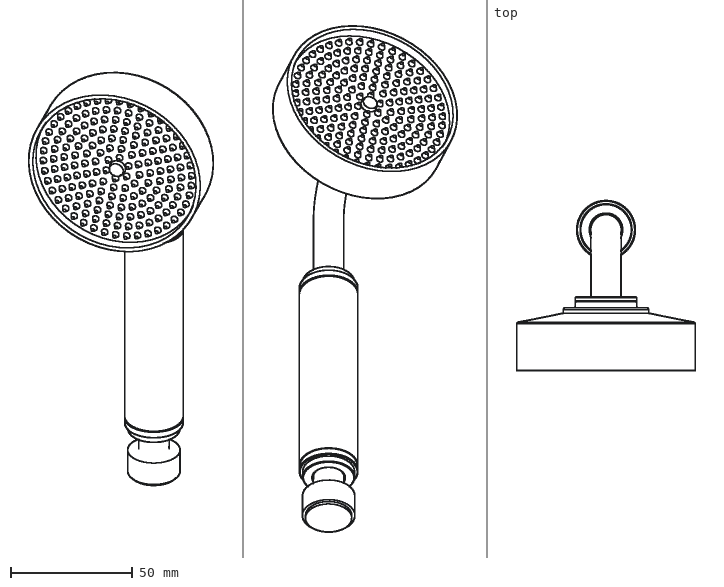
import cadquery as cq
import math

TOTAL_HEIGHT = 213
HEAD_DIAMETER = 74.0
HEAD_R = HEAD_DIAMETER / 2
HEAD_AXIS_Z = TOTAL_HEIGHT - HEAD_R

TUBE_DIAMETER = 12.5
TUBE_R = TUBE_DIAMETER / 2
BEND_R = 20.0
STUB_DIAMETER = 21.7
STUB_R = STUB_DIAMETER / 2
STUB_TOP_Z = 11.5
STUB_TIP_R = 9.5
STUB_TIP_HEIGHT = 1.3
STUB_FILLET = 0.6

GRIP_DIAMETER = 24.3
GRIP_R = GRIP_DIAMETER / 2
GRIP_BOTTOM_Z = 27.3
GRIP_TOP_Z = 117.0
CAP_BAND_HEIGHT = 3.2
CAP_COLLAR_DIAMETER = 21.5
CAP_COLLAR_R = CAP_COLLAR_DIAMETER / 2
CAP_COLLAR_HEIGHT = 3.0
CAP_BORE_CHAMFER = 0.6
CAP_EDGE_CHAMFER = 0.32

HEAD_FRONT = 58.1
RIM_BACK = 38.1
RIM_CHAMFER = 0.6
CONE_R = 18.0
CONE_BACK = 34.5
SHOULDER_R = 17.7
SHOULDER_BACK = 32.2
SHOULDER_BEVEL_WIDTH = 0.5
SHOULDER_BEVEL_DEPTH = 0.9
NECK_R = 12.8
NECK_BACK = 29.8
NECK_FILLET = 0.5
RECESS_R = 35.1
RECESS_DEPTH = 4.7

CONNECTOR_BACK = 27.7
CONNECTOR_CHAMFER = 0.5

BUTTON_BASE_R = 3.5
BUTTON_TIP_R = 3.0
BUTTON_HEIGHT = 2.0
NOZZLE_BASE_R = 1.38
NOZZLE_TIP_R = 0.6
NOZZLE_HEIGHT = 2.0
RING_COUNT = 7
NOZZLES_PER_RING_STEP = 6
FIRST_RING_R = 5.1
RING_PITCH = 4.5
NOZZLE_START_ANGLE = 20


def make_tube():
    """Straight grip bar, quarter bend and short arm, with the hose stub at the bottom."""
    bend_start_z = HEAD_AXIS_Z - BEND_R
    bend_offset = BEND_R * math.sqrt(0.5)
    path = (
        cq.Workplane("YZ")
        .moveTo(0, STUB_TOP_Z)
        .lineTo(0, bend_start_z)
        .threePointArc((-BEND_R + bend_offset, bend_start_z + bend_offset), (-BEND_R, HEAD_AXIS_Z))
        .lineTo(-NECK_BACK, HEAD_AXIS_Z)
    )
    bar = cq.Workplane("XY", origin=(0, 0, STUB_TOP_Z)).circle(TUBE_R).sweep(path)
    stub = (
        cq.Workplane("XZ")
        .moveTo(0, 0)
        .lineTo(STUB_TIP_R, 0)
        .lineTo(STUB_TIP_R, STUB_TIP_HEIGHT)
        .lineTo(STUB_R, STUB_TIP_HEIGHT)
        .lineTo(STUB_R, STUB_TOP_Z)
        .lineTo(TUBE_R + STUB_FILLET, STUB_TOP_Z)
        .radiusArc((TUBE_R, STUB_TOP_Z + STUB_FILLET), STUB_FILLET)
        .lineTo(0, STUB_TOP_Z + STUB_FILLET)
        .close()
        .revolve(360, (0, 0), (0, 1))
    )
    return bar.union(stub)


def make_grip():
    """Plain sleeve around the tube."""
    return (
        cq.Workplane("XY", origin=(0, 0, GRIP_BOTTOM_Z))
        .circle(GRIP_R)
        .circle(TUBE_R)
        .extrude(GRIP_TOP_Z - GRIP_BOTTOM_Z)
    )


def make_cap(seat_z, direction):
    """Stepped end cap that leaves the grip at seat_z, upwards (1) or downwards (-1)."""
    shoulder_z = seat_z + direction * CAP_BAND_HEIGHT
    edge_step = direction * CAP_EDGE_CHAMFER
    end_z = shoulder_z + direction * CAP_COLLAR_HEIGHT
    return (
        cq.Workplane("XZ")
        .moveTo(TUBE_R, seat_z)
        .lineTo(GRIP_R - CAP_EDGE_CHAMFER, seat_z)
        .lineTo(GRIP_R, seat_z + edge_step)
        .lineTo(GRIP_R, shoulder_z - edge_step)
        .lineTo(GRIP_R - CAP_EDGE_CHAMFER, shoulder_z)
        .lineTo(CAP_COLLAR_R, shoulder_z)
        .lineTo(CAP_COLLAR_R, end_z - edge_step)
        .lineTo(CAP_COLLAR_R - CAP_EDGE_CHAMFER, end_z)
        .lineTo(TUBE_R + CAP_BORE_CHAMFER, end_z)
        .lineTo(TUBE_R, end_z - direction * CAP_BORE_CHAMFER)
        .close()
        .revolve(360, (0, 0), (0, 1))
    )


def head_plane(depth):
    """Plane across the head axis, facing forwards (-Y), at a distance in front of the grip axis."""
    return cq.Workplane("XZ", origin=(0, -depth, HEAD_AXIS_Z))


def make_connector():
    """Ring on the tube end, chamfered on both outer edges."""
    return (
        head_plane(CONNECTOR_BACK)
        .circle(NECK_R)
        .extrude(NECK_BACK - CONNECTOR_BACK)
        .faces("|Y")
        .chamfer(CONNECTOR_CHAMFER)
        .cut(head_plane(CONNECTOR_BACK).circle(TUBE_R).extrude(NECK_BACK - CONNECTOR_BACK))
    )


def make_head_shell():
    """Neck, shoulder, cone and rim in one turned profile, with the spray face recessed."""
    floor = HEAD_FRONT - RECESS_DEPTH
    profile = [
        (HEAD_FRONT, RECESS_R),
        (HEAD_FRONT, HEAD_R),
        (RIM_BACK + RIM_CHAMFER, HEAD_R),
        (RIM_BACK, HEAD_R - RIM_CHAMFER),
        (CONE_BACK, CONE_R),
        (CONE_BACK, SHOULDER_R),
        (SHOULDER_BACK + SHOULDER_BEVEL_DEPTH, SHOULDER_R),
        (SHOULDER_BACK, SHOULDER_R - SHOULDER_BEVEL_WIDTH),
        (SHOULDER_BACK, NECK_R + NECK_FILLET),
    ]
    outline = cq.Workplane("YZ").moveTo(-floor, HEAD_AXIS_Z).lineTo(-floor, HEAD_AXIS_Z + RECESS_R)
    for depth, radius in profile:
        outline = outline.lineTo(-depth, HEAD_AXIS_Z + radius)
    return (
        outline.radiusArc((-SHOULDER_BACK + NECK_FILLET, HEAD_AXIS_Z + NECK_R), -NECK_FILLET)
        .lineTo(-NECK_BACK, HEAD_AXIS_Z + NECK_R)
        .lineTo(-NECK_BACK, HEAD_AXIS_Z)
        .close()
        .revolve(360, (0, HEAD_AXIS_Z), (1, HEAD_AXIS_Z))
    )


def nozzle_points():
    """Centres of the nozzles, with six more in each ring and one per ring on a common radius."""
    points = []
    for ring in range(RING_COUNT):
        radius = FIRST_RING_R + ring * RING_PITCH
        count = NOZZLES_PER_RING_STEP * (ring + 1)
        for index in range(count):
            angle = math.radians(NOZZLE_START_ANGLE + index * 360 / count)
            points.append((radius * math.cos(angle), radius * math.sin(angle)))
    return points


def make_spray_cone(base_radius, tip_radius, height, x, z):
    """Tapered stud on the spray face at an offset from the head axis."""
    base = cq.Vector(x, RECESS_DEPTH - HEAD_FRONT, HEAD_AXIS_Z + z)
    return cq.Solid.makeCone(base_radius, tip_radius, height, base, cq.Vector(0, -1, 0))


def make_head():
    """Head shell with the centre button and all nozzles standing on the spray face."""
    button = make_spray_cone(BUTTON_BASE_R, BUTTON_TIP_R, BUTTON_HEIGHT, 0, 0)
    nozzles = [
        make_spray_cone(NOZZLE_BASE_R, NOZZLE_TIP_R, NOZZLE_HEIGHT, x, z)
        for x, z in nozzle_points()
    ]
    return cq.Workplane(make_head_shell().val().fuse(button, *nozzles))


tube = make_tube()
grip = make_grip()
upper_cap = make_cap(GRIP_TOP_Z, 1)
lower_cap = make_cap(GRIP_BOTTOM_Z, -1)
connector = make_connector()
head = make_head()

result = cq.Compound.makeCompound(
    [tube.val(), grip.val(), upper_cap.val(), lower_cap.val(), connector.val(), head.val()]
)